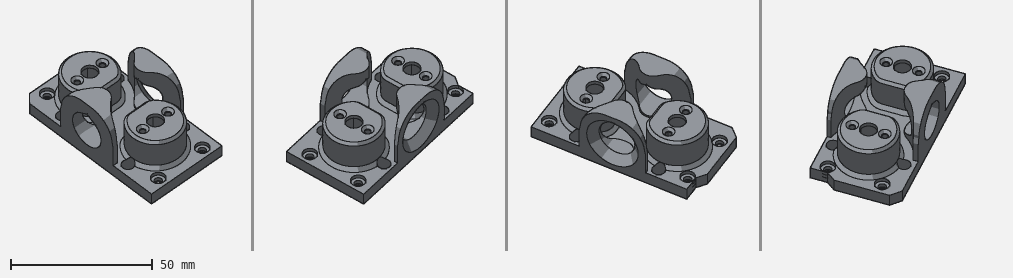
import cadquery as cq
import math


total_length = 65.75
total_width = 34.5
plate_thickness = 5.0
plate_left = -32.75
plate_front = -17.55
plate_right = plate_left + total_length
plate_back = plate_front + total_width
front_cut_x = 3.7
front_cut_y = 3.4
step_x = 2.6
step_y = 6.6
step_slant_y = 3.55

boss_offset = 16.7
boss_radius = 11.05
boss_flat = 9.55
boss_corner_radius = 4.9
boss_top = 17.8
boss_chamfer = 1.05
flare = 1.45
flare_angle = 45

roof_thickness = 1.5
hollow_radius = 8.95
hollow_half_width = 7.0

spindle_hole_diameter = 6.4
screw_hole_diameter = 2.4
countersink_diameter = 4.5
countersink_angle = 90
screw_offset = 6.2
notch_hole_diameter = 4.85
notch_hole_offset = 13.4

mount_hole_diameter = 3.0
counterbore_diameter = 5.5
top_counterbore_depth = 1.45
bottom_counterbore_depth = 2.05
mount_hole_points = [(-27.3, 11.3), (-28.4, -9.65), (28.85, 11.3), (28.85, -10.25)]

ear_height = 26.0
ear_half_width = 13.5
ear_side_top = 13.5
ear_shoulder_x = 12.95
ear_shoulder_z = 16.1
ear_top_half_width = 2.5
ear_clearance_radius = 15.85
ear_tip_radius = 4.9
ear_tip_y = 7.4
ear_hole_radius = 7.2
ear_hole_z = 12.95
ear_hole_peak = 8.15
back_flare_radius = 10.45
back_flare_angle = 45


def make_plate():
    outline = [
        (plate_left + front_cut_x, plate_front),
        (plate_right, plate_front),
        (plate_right, plate_back),
        (plate_left + step_x, plate_back),
        (plate_left + step_x, plate_back - step_y),
        (plate_left, plate_back - step_y - step_slant_y),
        (plate_left, plate_front + front_cut_y),
    ]
    return cq.Workplane("XY").polyline(outline).close().extrude(plate_thickness)


def boss_outline(z, offset):
    """Circle with a flat on its +X side and rounded corners, grown by offset."""
    radius = boss_radius + offset
    flat = boss_flat + offset
    corner = boss_corner_radius + offset
    corner_x = boss_flat - boss_corner_radius
    corner_y = math.sqrt((boss_radius - boss_corner_radius) ** 2 - corner_x**2)
    angle = math.atan2(corner_y, corner_x)
    arc_x = radius * math.cos(angle)
    arc_y = radius * math.sin(angle)
    mid_x = corner_x + corner * math.cos(angle / 2)
    mid_y = corner_y + corner * math.sin(angle / 2)
    return (
        cq.Workplane("XY")
        .workplane(offset=z)
        .moveTo(flat, -corner_y)
        .lineTo(flat, corner_y)
        .threePointArc((mid_x, mid_y), (arc_x, arc_y))
        .threePointArc((-radius, 0), (arc_x, -arc_y))
        .threePointArc((mid_x, -mid_y), (flat, -corner_y))
        .close()
    )


def make_boss():
    """Left boss, with its axis on the Z axis."""
    body = boss_outline(0, 0).extrude(boss_top).faces(">Z").chamfer(boss_chamfer)
    foot = boss_outline(plate_thickness, flare).extrude(flare, taper=flare_angle)
    return body.union(foot)


def make_boss_cuts():
    """Hollow and holes of one boss, around the Z axis."""
    roof_z = boss_top - roof_thickness
    hollow = cq.Workplane("XY").circle(hollow_radius).extrude(roof_z)
    hollow = hollow.intersect(
        cq.Workplane("XY").rect(2 * hollow_half_width, 2 * hollow_radius).extrude(roof_z)
    )
    spindle_hole = cq.Workplane("XY").circle(spindle_hole_diameter / 2).extrude(boss_top)
    cuts = hollow.union(spindle_hole)
    sink_half_angle = countersink_angle / 2
    sink_depth = (countersink_diameter - screw_hole_diameter) / 2 / math.tan(math.radians(sink_half_angle))
    for side in (-1, 1):
        y = side * screw_offset
        screw_hole = cq.Workplane("XY").center(0, y).circle(screw_hole_diameter / 2).extrude(boss_top)
        sink = (
            cq.Workplane("XY")
            .workplane(offset=boss_top)
            .center(0, y)
            .circle(countersink_diameter / 2)
            .extrude(-sink_depth, taper=sink_half_angle)
        )
        notch_hole = (
            cq.Workplane("XY")
            .center(0, side * notch_hole_offset)
            .circle(notch_hole_diameter / 2)
            .extrude(plate_thickness + flare)
        )
        cuts = cuts.union(screw_hole).union(sink).union(notch_hole)
    return cuts


def make_ear_front():
    """Front shape of both ears with their pointed hole, through the full width."""
    plane = cq.Workplane("XZ", origin=(0, plate_back, 0))
    shoulder_dx = ear_shoulder_x - ear_top_half_width
    shoulder_dz = ear_height - ear_shoulder_z
    round_radius = (shoulder_dx**2 + shoulder_dz**2) / (2 * shoulder_dz)
    round_z = ear_height - round_radius
    mid_angle = (math.asin((ear_shoulder_z - round_z) / round_radius) + math.pi / 2) / 2
    mid_x = ear_top_half_width + round_radius * math.cos(mid_angle)
    mid_z = round_z + round_radius * math.sin(mid_angle)
    body = (
        plane.moveTo(-ear_half_width, 0)
        .lineTo(ear_half_width, 0)
        .lineTo(ear_half_width, ear_side_top)
        .lineTo(ear_shoulder_x, ear_shoulder_z)
        .threePointArc((mid_x, mid_z), (ear_top_half_width, ear_height))
        .lineTo(-ear_top_half_width, ear_height)
        .threePointArc((-mid_x, mid_z), (-ear_shoulder_x, ear_shoulder_z))
        .lineTo(-ear_half_width, ear_side_top)
        .close()
        .extrude(total_width)
    )
    touch_angle = math.acos(ear_hole_radius / ear_hole_peak)
    touch_x = ear_hole_radius * math.sin(touch_angle)
    touch_z = ear_hole_z + ear_hole_radius * math.cos(touch_angle)
    hole = (
        plane.moveTo(0, ear_hole_z + ear_hole_peak)
        .lineTo(touch_x, touch_z)
        .threePointArc((0, ear_hole_z - ear_hole_radius), (-touch_x, touch_z))
        .close()
        .extrude(total_width)
    )
    return body.cut(hole)


def make_ear_plan(side):
    """Top shape of one ear: hollow flanks around the bosses and a round tip."""
    edge_y = plate_back if side > 0 else plate_front
    root_y = side * math.sqrt(ear_clearance_radius**2 - (boss_offset - ear_half_width) ** 2)
    tip_center_y = ear_tip_y + ear_tip_radius
    share = ear_clearance_radius / (ear_clearance_radius + ear_tip_radius)
    touch_x = boss_offset * (1 - share)
    touch_y = side * tip_center_y * share
    root_angle = math.acos((boss_offset - ear_half_width) / ear_clearance_radius)
    touch_angle = math.atan2(tip_center_y, boss_offset)
    mid_angle = (root_angle + touch_angle) / 2
    mid_x = boss_offset - ear_clearance_radius * math.cos(mid_angle)
    mid_y = side * ear_clearance_radius * math.sin(mid_angle)
    return (
        cq.Workplane("XY")
        .moveTo(-ear_half_width, edge_y)
        .lineTo(-ear_half_width, root_y)
        .threePointArc((-mid_x, mid_y), (-touch_x, touch_y))
        .threePointArc((0, side * ear_tip_y), (touch_x, touch_y))
        .threePointArc((mid_x, mid_y), (ear_half_width, root_y))
        .lineTo(ear_half_width, edge_y)
        .close()
        .extrude(ear_height)
    )


def make_back_flare():
    """Cone that widens the back ear hole from the hole radius to the outer face."""
    flare_depth = (back_flare_radius - ear_hole_radius) / math.tan(math.radians(back_flare_angle))
    return (
        cq.Workplane("XZ", origin=(0, plate_back, 0))
        .center(0, ear_hole_z)
        .circle(back_flare_radius)
        .extrude(flare_depth, taper=back_flare_angle)
    )


def make_mount_hole(x, y):
    """Through hole with a counterbore at both ends."""
    hole = cq.Workplane("XY").circle(mount_hole_diameter / 2).extrude(plate_thickness)
    bottom_bore = cq.Workplane("XY").circle(counterbore_diameter / 2).extrude(bottom_counterbore_depth)
    top_bore = (
        cq.Workplane("XY")
        .workplane(offset=plate_thickness)
        .circle(counterbore_diameter / 2)
        .extrude(-top_counterbore_depth)
    )
    return hole.union(bottom_bore).union(top_bore).translate((x, y, 0))


part = make_plate()

ear_front = make_ear_front()
for ear_side in (-1, 1):
    part = part.union(make_ear_plan(ear_side).intersect(ear_front))
part = part.cut(make_back_flare())

left_boss = make_boss().translate((-boss_offset, 0, 0))
part = part.union(left_boss).union(left_boss.mirror("YZ"))

boss_cuts = make_boss_cuts()
for boss_x in (-boss_offset, boss_offset):
    part = part.cut(boss_cuts.translate((boss_x, 0, 0)))

for hole_x, hole_y in mount_hole_points:
    part = part.cut(make_mount_hole(hole_x, hole_y))

result = part